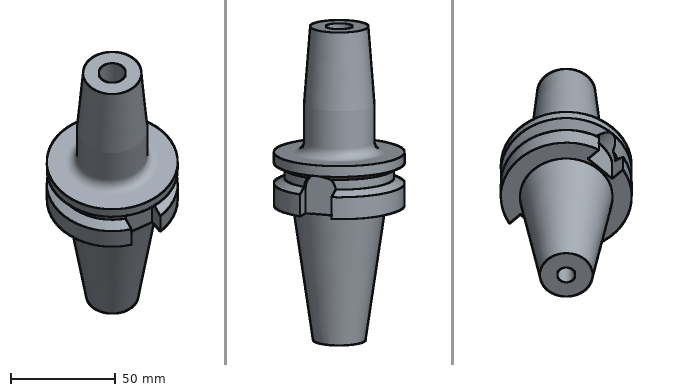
import cadquery as cq

total_height = 154.3
gauge_height = 65.5
flange_bottom = 66.3
groove_lower_edge = 77.2
groove_chamfer_height = 2.6
groove_upper_edge = 87.2
flange_top = 92.5
nose_cone_start = 116.2

gauge_radius = 22.2
taper_ratio = 7 / 24
taper_end_radius = gauge_radius - gauge_height * taper_ratio / 2
flange_radius = 31.5
groove_radius = 26.4
neck_radius = 17.0
neck_fillet = 5.1
nose_radius = 14.0

through_radius = 4.3
bore_radius = 6.5
bore_depth = 46.3

slot_width = 16.4
slot_floor = 23.0
slot_top = groove_upper_edge


def turned_body():
    """Revolve the half profile of the taper, flange, neck and nose."""
    profile = (
        cq.Workplane("XZ")
        .lineTo(taper_end_radius, 0)
        .lineTo(gauge_radius, gauge_height)
        .lineTo(gauge_radius, flange_bottom)
        .lineTo(flange_radius, flange_bottom)
        .lineTo(flange_radius, groove_lower_edge)
        .lineTo(groove_radius, groove_lower_edge + groove_chamfer_height)
        .lineTo(groove_radius, groove_upper_edge - groove_chamfer_height)
        .lineTo(flange_radius, groove_upper_edge)
        .lineTo(flange_radius, flange_top)
        .lineTo(neck_radius + neck_fillet, flange_top)
        .radiusArc((neck_radius, flange_top + neck_fillet), neck_fillet)
        .lineTo(neck_radius, nose_cone_start)
        .lineTo(nose_radius, total_height)
        .lineTo(0, total_height)
        .close()
    )
    return profile.revolve(360, (0, 0, 0), (0, 1, 0))


def stepped_bore():
    """Through hole with a wider clamping bore at the nose."""
    through_hole = cq.Workplane("XY").circle(through_radius).extrude(total_height)
    clamping_bore = (
        cq.Workplane("XY", origin=(0, 0, total_height))
        .circle(bore_radius)
        .extrude(-bore_depth)
    )
    return through_hole.union(clamping_bore)


def drive_slot(side):
    """Round-topped slot, open at the flange bottom, on one side (-1 or +1) of X."""
    half_width = slot_width / 2
    arch_start = slot_top - half_width
    return (
        cq.Workplane("YZ", origin=(side * slot_floor, 0, 0))
        .moveTo(-half_width, flange_bottom)
        .lineTo(-half_width, arch_start)
        .threePointArc((0, slot_top), (half_width, arch_start))
        .lineTo(half_width, flange_bottom)
        .close()
        .extrude(side * (flange_radius - slot_floor))
    )


result = turned_body().cut(stepped_bore())
for side in (-1, 1):
    result = result.cut(drive_slot(side))